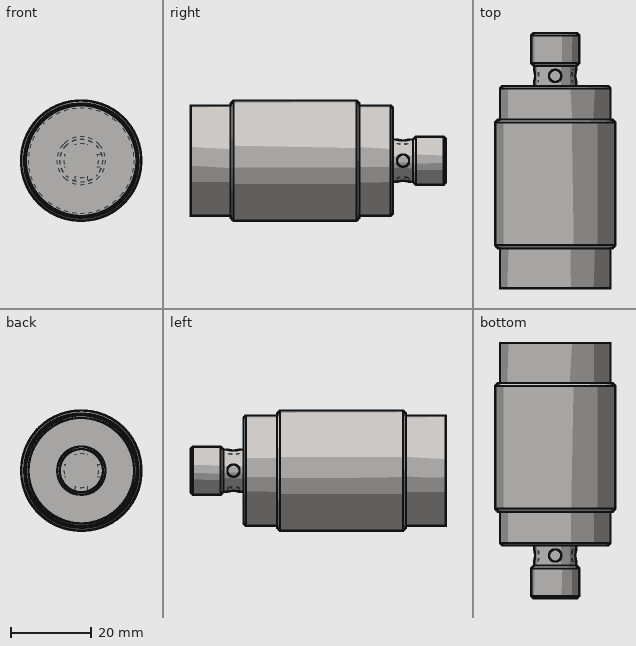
import cadquery as cq

barrel_diameter = 30.0
end_diameter = 27.5
head_diameter = 12.0
neck_diameter = 10.55
window_diameter = 3.05
core_diameter = 8.5

front_length = 10.0
barrel_length = 32.0
rear_length = 8.4
neck_length = 4.95
total_length = 63.55

barrel_chamfer = 0.75
edge_chamfer = 0.65

barrel_end = front_length + barrel_length
rear_end = barrel_end + rear_length
neck_end = rear_end + neck_length
head_length = total_length - neck_end
head_undercut = (head_diameter - neck_diameter) / 2


def cylinder_along_y(diameter, start, length):
    """Solid cylinder on the Y axis, beginning at Y = start."""
    plane = cq.Workplane("XZ", origin=(0, start, 0))
    return plane.circle(diameter / 2).extrude(-length)


front = cylinder_along_y(end_diameter, 0, front_length)
barrel = cylinder_along_y(barrel_diameter, front_length, barrel_length)
barrel = barrel.edges("%CIRCLE").chamfer(barrel_chamfer)
rear = cylinder_along_y(end_diameter, barrel_end, rear_length)
rear = rear.faces(">Y").edges().chamfer(edge_chamfer)
neck = cylinder_along_y(neck_diameter, rear_end, neck_length)

head = cylinder_along_y(head_diameter, neck_end, head_length)
head = head.faces(">Y").edges().chamfer(edge_chamfer)
head = head.faces("<Y").edges().chamfer(head_undercut)

result = front.union(barrel).union(rear).union(neck).union(head)

window_center = rear_end + neck_length / 2
window_count = 4
core = cylinder_along_y(core_diameter, rear_end, neck_length)

for index in range(window_count):
    cutter = (
        cq.Workplane("XY", origin=(0, window_center, 0))
        .circle(window_diameter / 2)
        .extrude(neck_diameter)
        .cut(core)
        .rotate((0, 0, 0), (0, 1, 0), index * 360 / window_count)
    )
    result = result.cut(cutter)